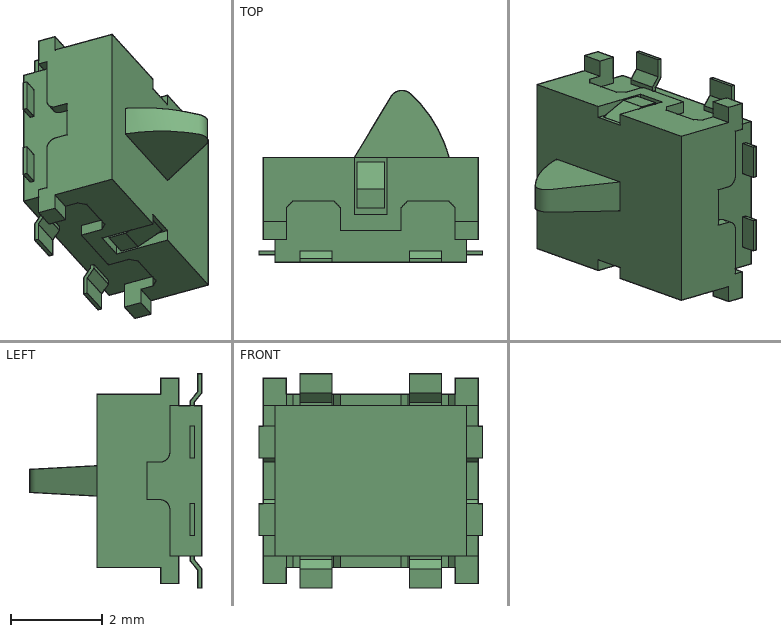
import cadquery as cq
import math


core_width = 4.2
core_height = 3.3
body_depth = 2.3
cover_width = 4.72
cover_height = 3.8
cover_front = 0.7

post_width = 0.51
post_front = 0.5
post_back = 0.9
post_span = 4.5

cutout_inner_x = 0.665
cutout_back = 1.35
cutout_chamfer = 0.15
side_notch_height = 0.82
side_notch_back = 1.2
side_notch_mouth_radius = 0.22

window_width = 0.71
window_front = 1.055
tab_width = 0.6
tab_front = 1.195
tab_ramp_start = 1.605
tab_back = 2.2

side_pin_span = 4.9
side_pin_height = 0.7
side_pin_pitch = 1.7
lead_pitch = 2.4
lead_width = 0.71
lead_span = 4.7
metal_front = 0.165
metal_thickness = 0.09
lead_bend_start = 1.72
lead_bend_end = 1.925

lever_tip = 3.77
lever_tip_radius = 0.28
lever_foot_x = -0.36
lever_flank_angle = math.radians(59)
lever_arc_center = (-1.08, 1.56)
lever_root_thickness = 0.67
lever_tip_thickness = 0.51

core_top = core_height / 2
cover_top = cover_height / 2
core_side = core_width / 2
cover_side = cover_width / 2
post_inner_x = cover_side - post_width


def box(x_range, y_range, z_range):
    """Axis-aligned box spanning the given (low, high) ranges."""
    size = [high - low for low, high in (x_range, y_range, z_range)]
    corner = (x_range[0], y_range[0], z_range[0])
    return cq.Workplane("XY").box(*size, centered=False).translate(corner)


def with_mirror(shape, plane):
    """The shape joined with its mirror image."""
    return shape.union(shape.mirror(plane))


def top_wall_cutout():
    """Chamfered opening through the top wall of the cover, on the +X half."""
    opening = box(
        (cutout_inner_x, post_inner_x),
        (cover_front, cutout_back),
        (core_top, cover_top),
    )
    return opening.edges("|Z and >Y").chamfer(cutout_chamfer)


def side_wall_notch():
    """Notch through the +X wall of the cover, its mouth flared by two round corners."""
    half = side_notch_height / 2
    radius = side_notch_mouth_radius
    return (
        cq.Workplane("YZ", origin=(core_side, 0, 0))
        .moveTo(cover_front, half + radius)
        .radiusArc((cover_front + radius, half), -radius)
        .lineTo(side_notch_back, half)
        .lineTo(side_notch_back, -half)
        .lineTo(cover_front + radius, -half)
        .radiusArc((cover_front, -half - radius), -radius)
        .close()
        .extrude(cover_side - core_side)
    )


def latch_window():
    """Slot through the top wall of the cover, open at the back."""
    half = window_width / 2
    return box((-half, half), (window_front, body_depth), (core_top, cover_top))


def snap_tab():
    """Tab on top of the core that ramps down to the core towards the back."""
    return (
        cq.Workplane("YZ", origin=(-tab_width / 2, 0, 0))
        .moveTo(tab_front, core_top)
        .lineTo(tab_front, cover_top)
        .lineTo(tab_ramp_start, cover_top)
        .lineTo(tab_back, core_top)
        .close()
        .extrude(tab_width)
    )


def corner_post():
    """Post on the +X, +Z corner that stands in front of and above the cover."""
    return box((post_inner_x, cover_side), (post_front, post_back), (core_top, post_span / 2))


def build_housing():
    """Core, cover, cutouts, snap tabs and corner posts."""
    core = box((-core_side, core_side), (0, body_depth), (-core_top, core_top))
    cover = box((-cover_side, cover_side), (cover_front, body_depth), (-cover_top, cover_top))

    top_openings = with_mirror(top_wall_cutout(), "YZ").union(latch_window())
    cover = cover.cut(with_mirror(top_openings, "XY"))
    cover = cover.cut(with_mirror(side_wall_notch(), "YZ"))

    posts = with_mirror(with_mirror(corner_post(), "YZ"), "XY")
    return core.union(cover).union(posts).union(with_mirror(snap_tab(), "XY"))


def side_pin():
    """Flat pin through the core at the upper level, sticking out on both sides."""
    half_span = side_pin_span / 2
    bottom = (side_pin_pitch - side_pin_height) / 2
    return box(
        (-half_span, half_span),
        (metal_front, metal_front + metal_thickness),
        (bottom, bottom + side_pin_height),
    )


def bent_lead():
    """Lead leaving the top of the core and stepping forward to the front plane, on the +X half."""
    bend_angle = math.atan2(metal_front, lead_bend_end - lead_bend_start)
    bend_shift = metal_thickness * math.tan(bend_angle / 2)
    metal_back = metal_front + metal_thickness
    lead_end = lead_span / 2
    return (
        cq.Workplane("YZ", origin=((lead_pitch - lead_width) / 2, 0, 0))
        .moveTo(metal_front, core_top)
        .lineTo(metal_front, lead_bend_start)
        .lineTo(0, lead_bend_end)
        .lineTo(0, lead_end)
        .lineTo(metal_thickness, lead_end)
        .lineTo(metal_thickness, lead_bend_end + bend_shift)
        .lineTo(metal_back, lead_bend_start + bend_shift)
        .lineTo(metal_back, core_top)
        .close()
        .extrude(lead_width)
    )


def lever_profile():
    """Lever outline: straight flank, round tip and a curved flank tangent to the tip."""
    radius = lever_tip_radius
    along = (math.cos(lever_flank_angle), math.sin(lever_flank_angle))

    tip_y = lever_tip - radius
    flank_length = (tip_y - body_depth + radius * along[0]) / along[1]
    flank_end = (lever_foot_x + flank_length * along[0], body_depth + flank_length * along[1])
    tip_x = flank_end[0] + radius * along[1]

    arc_x, arc_y = lever_arc_center
    arc_radius = math.hypot(tip_x - arc_x, tip_y - arc_y) + radius
    join_angle = math.atan2(tip_y - arc_y, tip_x - arc_x)
    foot_angle = math.asin((body_depth - arc_y) / arc_radius)

    def on_arc(angle):
        return (arc_x + arc_radius * math.cos(angle), arc_y + arc_radius * math.sin(angle))

    return (
        cq.Workplane("XY", origin=(0, 0, -lever_root_thickness / 2))
        .moveTo(lever_foot_x, body_depth)
        .lineTo(*flank_end)
        .threePointArc((tip_x, lever_tip), on_arc(join_angle))
        .threePointArc(on_arc((join_angle + foot_angle) / 2), on_arc(foot_angle))
        .close()
    )


def build_lever():
    """Lever that thins evenly from its root to its tip."""
    blank = lever_profile().extrude(lever_root_thickness)
    root = lever_root_thickness / 2
    tip = lever_tip_thickness / 2
    taper = (
        cq.Workplane("YZ")
        .polyline([(body_depth, -root), (lever_tip, -tip), (lever_tip, tip), (body_depth, root)])
        .close()
        .extrude(cover_width, both=True)
    )
    return blank.intersect(taper)


leads = with_mirror(with_mirror(bent_lead(), "YZ"), "XY")
side_pins = with_mirror(side_pin(), "XY")
result = build_housing().union(side_pins).union(leads).union(build_lever())